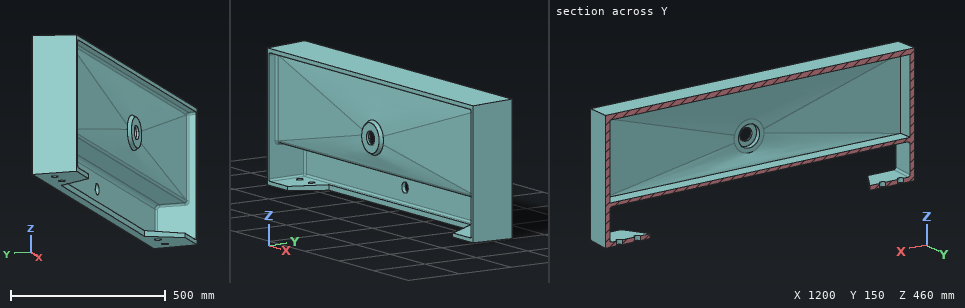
import cadquery as cq


LENGTH = 1200.0
DEPTH = 150.0
HEIGHT = 460.0
SIDE_DRAFT = 5.0
TAP_SIDE_DRAFT = 1.0
FAR_SIDE_DRAFT = 7.0

WALL = 15.0
RIM_WALL = 11.0
POCKET_DRAFT = 8.0
FILLET = 7.0

BOWL_EDGE_Y = 30.0
BOWL_DRAIN_Y = 13.0
FLOOR_INSET = 10.0
STEP_FRONT_Z = 139.0
STEP_BACK_Z = 138.0
STEP_FILLET = 15.0

DRAIN_Z = 251.0
FLANGE_BASE_RADIUS = 58.0
FLANGE_FACE_RADIUS = 50.0
FLANGE_FACE_Y = 1.0
DRAIN_RADIUS = 23.0
DRAIN_HOLE_LENGTH = 8.0
DRAIN_SEAT_RADIUS = 41.0

TAP_Z = 73.0
TAP_RADIUS = 18.0
MOUNT_RADIUS = 11.0
MOUNT_Y = 92.0
MOUNT_FROM_END = (56.0, 126.0)

NOTCH_DEPTH = 116.0
TAB_FRONT_LENGTH = 124.0
TAB_BACK_LENGTH = 190.0

SHELF_Y = DEPTH - WALL
OPEN_X = LENGTH / 2 - SIDE_DRAFT - RIM_WALL
OPEN_LOW_Z = TAP_SIDE_DRAFT + WALL
OPEN_HIGH_Z = HEIGHT - FAR_SIDE_DRAFT - WALL

FLOOR_X = OPEN_X - FLOOR_INSET
FLOOR_LOW_Z = STEP_FRONT_Z + FILLET
FLOOR_HIGH_Z = OPEN_HIGH_Z - FLOOR_INSET
CAVITY_LOW_Z = STEP_FRONT_Z + WALL


def plane_at(y):
    """XZ plane at depth y, with its normal along +Y and local axes (-X, Z)."""
    return cq.Workplane(cq.Plane(origin=(0, y, 0), xDir=(-1, 0, 0), normal=(0, 1, 0)))


def rect_wire(half_x, low_z, high_z, y):
    sketch = plane_at(y).center(0, (low_z + high_z) / 2).rect(2 * half_x, high_z - low_z)
    return sketch.wires().val()


def circle_wire(radius, z, y):
    return plane_at(y).center(0, z).circle(radius).wires().val()


def loft(*wires):
    return cq.Workplane(cq.Solid.makeLoft(list(wires), True))


def cylinder(radius, z, y_start, y_end):
    return plane_at(y_start).center(0, z).circle(radius).extrude(y_end - y_start)


def outer_body():
    front = rect_wire(LENGTH / 2 - SIDE_DRAFT, TAP_SIDE_DRAFT, HEIGHT - FAR_SIDE_DRAFT, 0)
    back = rect_wire(LENGTH / 2, 0, HEIGHT, DEPTH)
    return loft(front, back)


def underside_pocket():
    """Shallow over the bowl and deep behind the tap shelf, with rounded inside edges."""
    front = rect_wire(OPEN_X, OPEN_LOW_Z, OPEN_HIGH_Z, 0)
    floor = rect_wire(
        OPEN_X - POCKET_DRAFT, OPEN_LOW_Z + POCKET_DRAFT / 2, OPEN_HIGH_Z - POCKET_DRAFT, SHELF_Y
    )
    bowl_block = (
        cq.Workplane("YZ")
        .polyline([
            (BOWL_EDGE_Y, STEP_FRONT_Z),
            (SHELF_Y, STEP_BACK_Z),
            (SHELF_Y, HEIGHT),
            (BOWL_EDGE_Y, HEIGHT),
        ])
        .close()
        .extrude(LENGTH / 2, both=True)
    )
    pocket = loft(front, floor).cut(bowl_block)
    step_foot = pocket.edges(cq.selectors.NearestToPointSelector((0, SHELF_Y, STEP_BACK_Z)))
    pocket = step_foot.fillet(STEP_FILLET)
    inner_edges = cq.selectors.BoxSelector((-LENGTH, FILLET / 2, 0), (LENGTH, DEPTH, HEIGHT))
    return pocket.edges(inner_edges).fillet(FILLET)


def sloping_floor(low_z, offset):
    """Transition from the drain circle to the bowl edge, shifted along Y by offset."""
    edge = rect_wire(FLOOR_X, low_z, FLOOR_HIGH_Z, BOWL_EDGE_Y + offset)
    drain = circle_wire(FLANGE_BASE_RADIUS, DRAIN_Z, BOWL_DRAIN_Y + offset)
    return loft(drain, edge)


def drain_flange():
    return loft(
        circle_wire(FLANGE_FACE_RADIUS, DRAIN_Z, FLANGE_FACE_Y),
        circle_wire(FLANGE_BASE_RADIUS, DRAIN_Z, BOWL_DRAIN_Y),
    )


def bowl_cavity():
    """Open at the top rim, with a floor one wall thickness above the underside."""
    floor = rect_wire(FLOOR_X, CAVITY_LOW_Z, FLOOR_HIGH_Z, BOWL_EDGE_Y + WALL)
    mouth = rect_wire(LENGTH / 2 - WALL, CAVITY_LOW_Z, HEIGHT - WALL, DEPTH)
    seat = cylinder(
        DRAIN_SEAT_RADIUS, DRAIN_Z, FLANGE_FACE_Y + DRAIN_HOLE_LENGTH, BOWL_EDGE_Y + WALL
    )
    return loft(floor, mouth).union(sloping_floor(CAVITY_LOW_Z, WALL)).union(seat)


def tab_notch():
    front_x = LENGTH / 2 - TAB_FRONT_LENGTH
    back_x = LENGTH / 2 - TAB_BACK_LENGTH
    return (
        cq.Workplane("XY")
        .polyline([(-front_x, 0), (front_x, 0), (back_x, NOTCH_DEPTH), (-back_x, NOTCH_DEPTH)])
        .close()
        .extrude(2 * WALL)
    )


def mount_holes():
    places = [
        (side * (LENGTH / 2 - inset), MOUNT_Y) for side in (-1, 1) for inset in MOUNT_FROM_END
    ]
    return cq.Workplane("XY").pushPoints(places).circle(MOUNT_RADIUS).extrude(2 * WALL)


result = (
    outer_body()
    .cut(underside_pocket())
    .union(sloping_floor(FLOOR_LOW_Z, 0))
    .union(drain_flange())
    .cut(bowl_cavity())
    .cut(cylinder(DRAIN_RADIUS, DRAIN_Z, 0, DEPTH))
    .cut(cylinder(TAP_RADIUS, TAP_Z, 0, DEPTH))
    .cut(tab_notch())
    .cut(mount_holes())
)